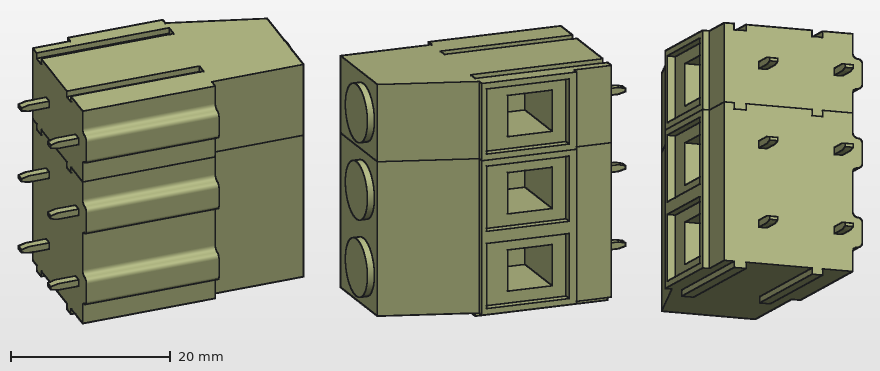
import cadquery as cq


stack_poles = 3
stack_height = 30.48
pole_height = stack_height / stack_poles

frame_projection = 0.9
frame_bottom_y = 5.05
base_back_x = 18.2
base_top_y = 17.8
crown_front_x = 4.4
crown_back_x = 17.03
crown_y = 30.1

rib_height = 0.8
rib_spans = [(2.22, 3.82), (12.72, 14.15)]

bump_half_height = 1.9
bump_root_radius = 0.65
bump_nose_radius = 0.63

recess_bottom_y = 6.05
recess_top_y = 17.13
recess_margin = 0.8
recess_depth = 1.1
hole_bottom_y = 7.9
hole_top_y = 13.85
hole_height = 5.42
hole_floor_x = 10.42

screw_x = 9.2
screw_diameter = 7.55
screw_projection = 0.95

front_pin_x = 6.08
pin_positions = [front_pin_x, front_pin_x + pole_height]
pin_width = 1.08
pin_thickness = 0.9
pin_length = 3.72
pin_tip_length = 0.97
pin_tip_thickness = 0.4


def box(x_span, y_span, z_span):
    """Box between the given start and end coordinates."""
    return (
        cq.Workplane("XY", origin=(x_span[0], y_span[0], z_span[0]))
        .box(x_span[1] - x_span[0], y_span[1] - y_span[0], z_span[1] - z_span[0], centered=False)
    )


def module_block(bottom_z, top_z):
    """Plain module: stepped frame, sloping front and narrower crown."""
    return (
        cq.Workplane("XY", origin=(0, 0, bottom_z))
        .moveTo(frame_projection, 0)
        .lineTo(base_back_x, 0)
        .lineTo(base_back_x, base_top_y)
        .lineTo(crown_back_x, base_top_y)
        .lineTo(crown_back_x, crown_y)
        .lineTo(crown_front_x, crown_y)
        .lineTo(frame_projection, base_top_y)
        .lineTo(0, base_top_y)
        .lineTo(0, frame_bottom_y)
        .lineTo(frame_projection, frame_bottom_y)
        .close()
        .extrude(top_z - bottom_z)
    )


def rib_bars(bottom_z):
    """Bars in the shape of the ribs, with their undersides at bottom_z."""
    bars = cq.Workplane("XY")
    for x_span in rib_spans:
        bars = bars.add(box(x_span, (0, base_top_y), (bottom_z, bottom_z + rib_height)))
    return bars.combine()


def back_bump(center_z):
    """Bump along the base, with concave roots and a rounded nose."""
    nose_x = base_back_x + bump_root_radius
    tip_x = nose_x + bump_nose_radius
    root_half = bump_half_height + bump_root_radius
    tip_half = bump_half_height - bump_nose_radius
    return (
        cq.Workplane("XZ", origin=(0, 0, center_z))
        .moveTo(base_back_x, -root_half)
        .radiusArc((nose_x, -bump_half_height), bump_root_radius)
        .radiusArc((tip_x, -tip_half), -bump_nose_radius)
        .lineTo(tip_x, tip_half)
        .radiusArc((nose_x, bump_half_height), -bump_nose_radius)
        .radiusArc((base_back_x, root_half), bump_root_radius)
        .close()
        .extrude(-base_top_y)
    )


def wire_entry(center_z):
    """Space of a wire entry: a shallow recess and a deeper blind hole."""
    recess_half = pole_height / 2 - recess_margin
    hole_half = hole_height / 2
    recess = box(
        (0, recess_depth),
        (recess_bottom_y, recess_top_y),
        (center_z - recess_half, center_z + recess_half),
    )
    hole = box(
        (0, hole_floor_x),
        (hole_bottom_y, hole_top_y),
        (center_z - hole_half, center_z + hole_half),
    )
    return recess.union(hole)


def screw_head(center_z):
    """Round screw head standing on the crown."""
    return (
        cq.Workplane("XZ", origin=(screw_x, crown_y, center_z))
        .circle(screw_diameter / 2)
        .extrude(-screw_projection)
    )


def pin(center_x, center_z):
    """Flat pin below the base, tapering in thickness towards its tip."""
    half = pin_thickness / 2
    tip_half = pin_tip_thickness / 2
    shoulder_y = pin_tip_length - pin_length
    return (
        cq.Workplane("YZ", origin=(center_x - pin_width / 2, 0, center_z))
        .polyline([
            (0, -half),
            (0, half),
            (shoulder_y, half),
            (-pin_length, tip_half),
            (-pin_length, -tip_half),
            (shoulder_y, -half),
        ])
        .close()
        .extrude(pin_width)
    )


def terminal_module(first_pole, poles):
    """One-piece module that fills the given number of poles, counted from the bottom."""
    bottom_z = first_pole * pole_height
    top_z = bottom_z + poles * pole_height
    module = module_block(bottom_z, top_z)
    module = module.union(rib_bars(bottom_z - rib_height))
    module = module.cut(rib_bars(top_z - rib_height))
    for pole in range(poles):
        center_z = bottom_z + (pole + 0.5) * pole_height
        module = module.union(back_bump(center_z))
        module = module.union(screw_head(center_z))
        module = module.cut(wire_entry(center_z))
        for pin_x in pin_positions:
            module = module.union(pin(pin_x, center_z))
    return module.solids()


double_pole_module = terminal_module(first_pole=0, poles=2)
single_pole_module = terminal_module(first_pole=2, poles=1)

result = cq.Compound.makeCompound([double_pole_module.val(), single_pole_module.val()])